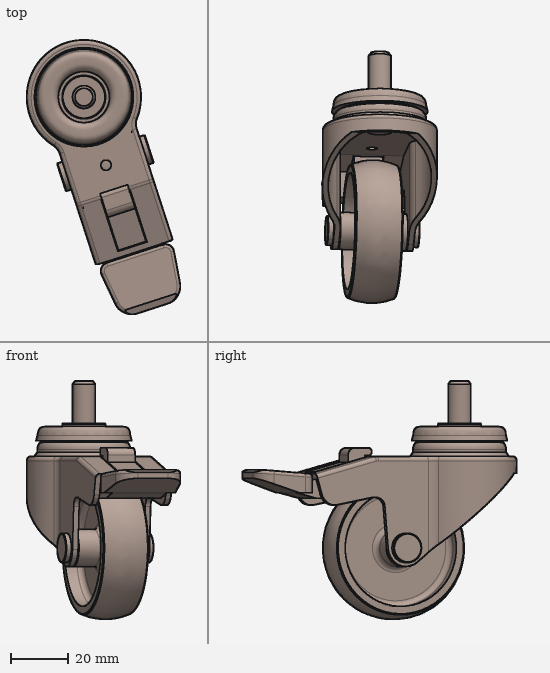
import cadquery as cq
import math

SWIVEL_ANGLE = 18.0

AXLE_Y = -24.25
WHEEL_R = 25.0
WHEEL_FACE_R = 23.4
WHEEL_CHAMFER = 0.4
WHEEL_HALF_WIDTH = 8.3
RIM_INNER_R = 20.4
WEB_R = 18.4
WEB_HALF_THICKNESS = 2.2
WEB_FILLET = 2.0
HUB_R = 6.5
HUB_FILLET = 2.0
HUB_GAP = 0.4
AXLE_R = 3.5
AXLE_HEAD_R = 5.15
AXLE_HEAD_HEIGHT = 2.0
AXLE_HEAD_CHAMFER = 0.25

SHEET = 2.0
PLATE_TOP = 32.0
HEAD_R = 20.0
HEAD_RIM_BOTTOM = 26.0
FORK_HALF_WIDTH = 14.15
NECK_FILLET = 5.0
TOP_FILLET = 1.5
SKIRT_START_Y = 16.3
LEG_END_R = 6.5
BEND_Y = -35.0
BEND_R = 4.0
SLOPE = math.radians(15.5)
NOSE_Y = -57.1
LEG_NOTCH = (-32.3, 18.4)
LEG_NOTCH_FILLET = 3.5
NOSE_CORNER = (-53.8, 14.1)
NOSE_FILLET = 5.0
PLATE_HOLE_R = 1.8
PLATE_HOLE_Y = -25.0
WINDOW_HALF_WIDTH = 5.35
WINDOW_BACK_Y = -36.0
WINDOW_FRONT_Y = -54.9

BEAD_TOP = 36.8
BEAD_TOP_R = 15.3
BEAD_R = 16.3
BEAD_SHOULDER = 34.4
BEAD_WAIST = 33.4
BEAD_FOOT_R = 17.3

CAP_NECK_R = 14.45
CAP_BOTTOM = 37.4
CAP_BOTTOM_R = 16.75
CAP_SHOULDER = 39.4
CAP_SHOULDER_R = 16.25
CAP_CROWN_R = 13.4
CAP_TOP = 42.4
CAP_GROOVE_R = 8.9
CAP_GROOVE_BOTTOM = 38.0

STEM_R = 4.0
STEM_TIP_R = 3.1
STEM_TOP = 58.35
STEM_TIP_HEIGHT = 1.15
COLLAR_R = 7.6
COLLAR_TOP = 43.45
COLLAR_CHAMFER = 0.25

PEDAL_BACK_Y = -57.5
PEDAL_FRONT_Y = -77.65
PEDAL_BACK_HALF_WIDTH = 13.75
PEDAL_FRONT_HALF_WIDTH = 11.2
PEDAL_BACK_CORNER = 3.0
PEDAL_FRONT_CORNER = 6.5
PEDAL_BACK_TOP = 25.8
PEDAL_FRONT_TOP = 27.5
PEDAL_BEVEL_LENGTH = 2.5
PEDAL_BEVEL_DROP = 1.1
PEDAL_FRONT_BOTTOM = 24.3
PEDAL_LOW = (-62.9, 19.2)
PEDAL_TOP_FILLET = 1.2
ARM_HALF_WIDTH = 10.0
ARM_BACK_Y = -47.0
ARM_BOTTOM = 17.4
ARM_BOTTOM_FRONT_Y = -56.0
TAB_GAP = 0.3
HOOK_TOP = 34.95
HOOK_BOTTOM = 32.2
HOOK_BACK_Y = -33.8
HOOK_FRONT_Y = -42.5
HOOK_FRONT_FILLET = 2.5


def slope_height(y, drop=0.0):
    """Height of the sloped fork plate at y, lowered square to the slope by drop."""
    return PLATE_TOP + (y - BEND_Y) * math.tan(SLOPE) - drop / math.cos(SLOPE)


def tangent_point(point, centre, radius, side):
    """Point where the line from point touches the circle; side is +1 or -1."""
    dy = point[0] - centre[0]
    dz = point[1] - centre[1]
    angle = math.atan2(dz, dy) + side * math.acos(radius / math.hypot(dy, dz))
    return (centre[0] + radius * math.cos(angle), centre[1] + radius * math.sin(angle))


def side_prism(outline, half_width):
    """Extrude a closed (y, z) outline equally to both sides of the YZ plane."""
    return outline.close().extrude(half_width, both=True)


def round_corner(prism, corner, radius):
    """Fillet the edge of a side prism that runs along X through the (y, z) corner."""
    return prism.edges(cq.selectors.NearestToPointSelector((0, *corner))).fillet(radius)


def fork_plan(inset, front_y, bottom, top):
    """Keyhole plan of the fork: round head, filleted necks and parallel sides."""
    head_r = HEAD_R - inset
    half = FORK_HALF_WIDTH - inset
    neck_r = NECK_FILLET + inset
    neck_y = -math.sqrt((head_r + neck_r) ** 2 - (half + neck_r) ** 2)
    touch = head_r / (head_r + neck_r)
    touch_x = (half + neck_r) * touch
    touch_y = neck_y * touch
    return (
        cq.Workplane("XY", origin=(0, 0, bottom))
        .moveTo(half, front_y)
        .lineTo(half, neck_y)
        .radiusArc((touch_x, touch_y), neck_r)
        .threePointArc((0, head_r), (-touch_x, touch_y))
        .radiusArc((-half, neck_y), neck_r)
        .lineTo(-half, front_y)
        .close()
        .extrude(top - bottom)
    )


def fork_blank():
    """Outside of the fork with its top edges rounded, before hollowing."""
    axle = (AXLE_Y, 0)
    skirt_start = (SKIRT_START_Y, HEAD_RIM_BOTTOM)
    leg_back = tangent_point(skirt_start, axle, LEG_END_R, -1)
    leg_front = tangent_point(LEG_NOTCH, axle, LEG_END_R, 1)
    outline = (
        cq.Workplane("YZ")
        .moveTo(HEAD_R + 1, PLATE_TOP)
        .lineTo(HEAD_R + 1, HEAD_RIM_BOTTOM)
        .lineTo(*skirt_start)
        .lineTo(*leg_back)
        .threePointArc((AXLE_Y, -LEG_END_R), leg_front)
        .lineTo(*LEG_NOTCH)
        .lineTo(*NOSE_CORNER)
        .lineTo(NOSE_Y, slope_height(NOSE_Y))
        .lineTo(BEND_Y, PLATE_TOP)
    )
    side = side_prism(outline, HEAD_R + 1)
    side = round_corner(side, LEG_NOTCH, LEG_NOTCH_FILLET)
    side = round_corner(side, (BEND_Y, PLATE_TOP), BEND_R)
    side = round_corner(side, NOSE_CORNER, NOSE_FILLET)
    blank = fork_plan(0, NOSE_Y - 1, -HEAD_R, PLATE_TOP).intersect(side)
    top_edges = blank.faces("+Z").faces(">Z").edges().vals()
    slope_edges = blank.faces(cq.selectors.NearestToPointSelector(
        (0, (BEND_Y + NOSE_Y) / 2, slope_height((BEND_Y + NOSE_Y) / 2)))).edges().vals()
    rounded = [
        e for e in top_edges + slope_edges
        if abs(e.Center().x) > 1 or e.Center().y > 0
    ]
    return blank.newObject(rounded).fillet(TOP_FILLET)


def make_fork():
    room_front = NOSE_Y - 5
    room = fork_plan(SHEET, room_front, -HEAD_R, PLATE_TOP - SHEET)
    inner_bend_y = BEND_Y + SHEET * math.tan(SLOPE / 2)
    room_side = side_prism(
        cq.Workplane("YZ")
        .moveTo(HEAD_R, -HEAD_R)
        .lineTo(HEAD_R, PLATE_TOP - SHEET)
        .lineTo(inner_bend_y, PLATE_TOP - SHEET)
        .lineTo(room_front, slope_height(room_front, SHEET))
        .lineTo(room_front, -HEAD_R),
        HEAD_R,
    )
    bead = (
        cq.Workplane("XZ")
        .moveTo(0, PLATE_TOP - SHEET)
        .lineTo(BEAD_FOOT_R, PLATE_TOP - SHEET)
        .lineTo(BEAD_FOOT_R, PLATE_TOP)
        .lineTo(BEAD_R, BEAD_WAIST)
        .lineTo(BEAD_R, BEAD_SHOULDER)
        .tangentArcPoint((BEAD_TOP_R, BEAD_TOP), relative=False)
        .lineTo(0, BEAD_TOP)
        .close()
        .revolve(360, (0, 0), (0, 1))
    )
    fork = fork_blank().cut(room.intersect(room_side)).union(bead)
    stem_hole = cq.Workplane("XY").circle(STEM_R).extrude(BEAD_TOP)
    plate_hole = cq.Workplane("XY").center(0, PLATE_HOLE_Y).circle(PLATE_HOLE_R).extrude(PLATE_TOP)
    axle_hole = (
        cq.Workplane("YZ").center(AXLE_Y, 0).circle(AXLE_R).extrude(FORK_HALF_WIDTH, both=True)
    )
    window = cq.Workplane("XY").box(
        2 * WINDOW_HALF_WIDTH, WINDOW_BACK_Y - WINDOW_FRONT_Y, PLATE_TOP, centered=(True, False, False)
    ).translate((0, WINDOW_FRONT_Y, 0))
    return fork.cut(stem_hole).cut(plate_hole).cut(axle_hole).cut(window)


def make_cap():
    return (
        cq.Workplane("XZ")
        .moveTo(COLLAR_R, BEAD_TOP)
        .lineTo(CAP_NECK_R, BEAD_TOP)
        .lineTo(CAP_NECK_R, CAP_BOTTOM)
        .lineTo(CAP_BOTTOM_R, CAP_BOTTOM)
        .lineTo(CAP_SHOULDER_R, CAP_SHOULDER)
        .spline(
            [(CAP_CROWN_R, CAP_TOP), (CAP_GROOVE_R, CAP_GROOVE_BOTTOM)],
            tangents=[(0, 1), (-1, 0), (0, -1)],
            includeCurrent=True,
        )
        .lineTo(COLLAR_R, CAP_GROOVE_BOTTOM)
        .close()
        .revolve(360, (0, 0), (0, 1))
    )


def make_stem():
    return (
        cq.Workplane("XZ")
        .moveTo(0, PLATE_TOP - SHEET)
        .lineTo(STEM_R, PLATE_TOP - SHEET)
        .lineTo(STEM_R, BEAD_TOP)
        .lineTo(COLLAR_R, BEAD_TOP)
        .lineTo(COLLAR_R, COLLAR_TOP - COLLAR_CHAMFER)
        .lineTo(COLLAR_R - COLLAR_CHAMFER, COLLAR_TOP)
        .lineTo(STEM_R, COLLAR_TOP)
        .lineTo(STEM_R, STEM_TOP - STEM_TIP_HEIGHT)
        .lineTo(STEM_TIP_R, STEM_TOP)
        .lineTo(0, STEM_TOP)
        .close()
        .revolve(360, (0, 0), (0, 1))
    )


def make_wheel():
    hub_half = FORK_HALF_WIDTH - SHEET - HUB_GAP
    section = (
        cq.Workplane("XY")
        .moveTo(-hub_half, AXLE_R)
        .lineTo(-hub_half, HUB_R)
        .lineTo(-WEB_HALF_THICKNESS - HUB_FILLET, HUB_R)
        .radiusArc((-WEB_HALF_THICKNESS, HUB_R + HUB_FILLET), -HUB_FILLET)
        .lineTo(-WEB_HALF_THICKNESS, WEB_R)
        .radiusArc((-WEB_HALF_THICKNESS - WEB_FILLET, WEB_R + WEB_FILLET), -WEB_FILLET)
        .lineTo(-WHEEL_HALF_WIDTH, RIM_INNER_R)
        .lineTo(-WHEEL_HALF_WIDTH, WHEEL_FACE_R - WHEEL_CHAMFER)
        .lineTo(WHEEL_CHAMFER - WHEEL_HALF_WIDTH, WHEEL_FACE_R)
        .threePointArc((0, WHEEL_R), (WHEEL_HALF_WIDTH - WHEEL_CHAMFER, WHEEL_FACE_R))
        .lineTo(WHEEL_HALF_WIDTH, WHEEL_FACE_R - WHEEL_CHAMFER)
        .lineTo(WHEEL_HALF_WIDTH, RIM_INNER_R)
        .lineTo(WEB_HALF_THICKNESS + WEB_FILLET, WEB_R + WEB_FILLET)
        .radiusArc((WEB_HALF_THICKNESS, WEB_R), -WEB_FILLET)
        .lineTo(WEB_HALF_THICKNESS, HUB_R + HUB_FILLET)
        .radiusArc((WEB_HALF_THICKNESS + HUB_FILLET, HUB_R), -HUB_FILLET)
        .lineTo(hub_half, HUB_R)
        .lineTo(hub_half, AXLE_R)
        .close()
    )
    return section.revolve(360, (0, 0), (1, 0)).translate((0, AXLE_Y, 0))


def make_axle():
    axle = cq.Workplane("YZ").circle(AXLE_R).extrude(FORK_HALF_WIDTH, both=True)
    for side in (-1, 1):
        head = (
            cq.Workplane("YZ", origin=(side * FORK_HALF_WIDTH, 0, 0))
            .circle(AXLE_HEAD_R)
            .extrude(side * AXLE_HEAD_HEIGHT)
            .faces("<X" if side < 0 else ">X")
            .chamfer(AXLE_HEAD_CHAMFER)
        )
        axle = axle.union(head)
    return axle.translate((0, AXLE_Y, 0))


def make_pedal():
    plan = (
        cq.Workplane("XY")
        .moveTo(-PEDAL_BACK_HALF_WIDTH, PEDAL_BACK_Y)
        .lineTo(PEDAL_BACK_HALF_WIDTH, PEDAL_BACK_Y)
        .lineTo(PEDAL_FRONT_HALF_WIDTH, PEDAL_FRONT_Y)
        .lineTo(-PEDAL_FRONT_HALF_WIDTH, PEDAL_FRONT_Y)
        .close()
        .extrude(PLATE_TOP)
        .edges("|Z and >Y").fillet(PEDAL_BACK_CORNER)
        .edges("|Z and <Y").fillet(PEDAL_FRONT_CORNER)
    )
    side = side_prism(
        cq.Workplane("YZ")
        .moveTo(PEDAL_BACK_Y, PEDAL_BACK_TOP)
        .lineTo(PEDAL_FRONT_Y, PEDAL_FRONT_TOP)
        .lineTo(PEDAL_FRONT_Y, PEDAL_FRONT_BOTTOM)
        .lineTo(*PEDAL_LOW)
        .lineTo(PEDAL_BACK_Y, PEDAL_LOW[1]),
        PEDAL_BACK_HALF_WIDTH,
    )
    top_point = (0, (PEDAL_BACK_Y + PEDAL_FRONT_Y) / 2, (PEDAL_BACK_TOP + PEDAL_FRONT_TOP) / 2)
    pedal = (
        plan.intersect(side)
        .faces(cq.selectors.NearestToPointSelector(top_point))
        .edges()
        .fillet(PEDAL_TOP_FILLET)
    )
    bevel_back_y = PEDAL_FRONT_Y + PEDAL_BEVEL_LENGTH
    top_slope = (PEDAL_FRONT_TOP - PEDAL_BACK_TOP) / (PEDAL_BACK_Y - PEDAL_FRONT_Y)
    bevel_waste = side_prism(
        cq.Workplane("YZ")
        .moveTo(bevel_back_y, PEDAL_FRONT_TOP - top_slope * PEDAL_BEVEL_LENGTH)
        .lineTo(PEDAL_FRONT_Y, PEDAL_FRONT_TOP - PEDAL_BEVEL_DROP)
        .lineTo(PEDAL_FRONT_Y, PLATE_TOP)
        .lineTo(bevel_back_y, PLATE_TOP),
        PEDAL_BACK_HALF_WIDTH,
    )
    return pedal.cut(bevel_waste)


def make_lever():
    pedal_join_y = PEDAL_BACK_Y - PEDAL_BACK_CORNER
    tab_front_y = WINDOW_FRONT_Y + TAB_GAP
    tab_back_y = WINDOW_BACK_Y - TAB_GAP
    tab_half_width = WINDOW_HALF_WIDTH - TAB_GAP
    arm = side_prism(
        cq.Workplane("YZ")
        .moveTo(ARM_BACK_Y, slope_height(ARM_BACK_Y, SHEET))
        .lineTo(pedal_join_y, slope_height(pedal_join_y, SHEET))
        .lineTo(*PEDAL_LOW)
        .lineTo(ARM_BOTTOM_FRONT_Y, ARM_BOTTOM)
        .lineTo(ARM_BACK_Y, ARM_BOTTOM),
        ARM_HALF_WIDTH,
    )
    tab = side_prism(
        cq.Workplane("YZ")
        .moveTo(tab_back_y, HOOK_BOTTOM)
        .lineTo(tab_back_y, slope_height(tab_back_y, 2 * SHEET))
        .lineTo(tab_front_y, slope_height(tab_front_y, 2 * SHEET))
        .lineTo(tab_front_y, slope_height(tab_front_y))
        .lineTo(HOOK_FRONT_Y, slope_height(HOOK_FRONT_Y))
        .lineTo(HOOK_FRONT_Y, HOOK_BOTTOM),
        tab_half_width,
    )
    nose_r = (HOOK_TOP - HOOK_BOTTOM) / 2
    hook = side_prism(
        cq.Workplane("YZ")
        .moveTo(HOOK_FRONT_Y, HOOK_BOTTOM)
        .lineTo(HOOK_FRONT_Y, HOOK_TOP - HOOK_FRONT_FILLET)
        .radiusArc((HOOK_FRONT_Y + HOOK_FRONT_FILLET, HOOK_TOP), HOOK_FRONT_FILLET)
        .lineTo(HOOK_BACK_Y - nose_r, HOOK_TOP)
        .threePointArc((HOOK_BACK_Y, HOOK_TOP - nose_r), (HOOK_BACK_Y - nose_r, HOOK_BOTTOM)),
        tab_half_width,
    )
    return make_pedal().union(arm).union(tab).union(hook)


bodies = [make_fork(), make_cap(), make_stem(), make_wheel(), make_axle(), make_lever()]
turned = [body.rotate((0, 0, 0), (0, 0, 1), SWIVEL_ANGLE) for body in bodies]
result = cq.Compound.makeCompound([body.val() for body in turned])